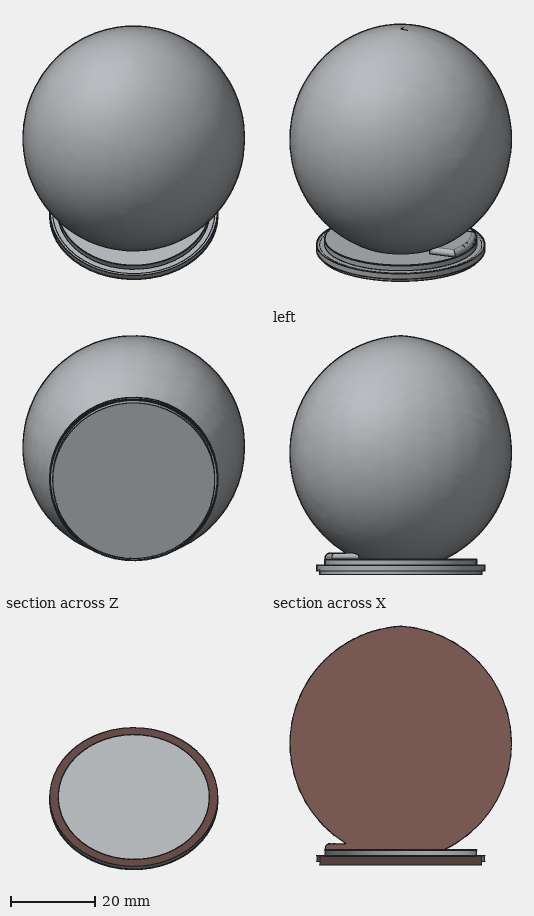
import cadquery as cq
import math

wall = 0.2
flange_radius = 40 / 2
flange_bottom = 0.8
flange_top = 2.3
step_radius = 36.2 / 2
step_top = 3.6

plate_radius = 38.5 / 2
plate_height = flange_top - wall

foot_radius = 36 / 2
foot_top = 3.7

bulb_radius = 52.67 / 2
bulb_top = 56.7
bulb_middle = 28.85

tab_inner_y = 9.9
tab_width = 15.0
tab_top = 5.1
tab_rounding = 1.15


def disc(radius, bottom, top):
    return cq.Workplane("XY").workplane(offset=bottom).circle(radius).extrude(top - bottom)


def make_bulb():
    half_height = bulb_top - bulb_middle
    overshoot = (half_height**2 - bulb_radius**2) / (2 * bulb_radius)
    arc_radius = bulb_radius + overshoot
    seat_drop = bulb_middle - foot_top
    seat_radius = math.sqrt(arc_radius**2 - seat_drop**2) - overshoot
    return (
        cq.Workplane("XZ")
        .moveTo(0, foot_top)
        .lineTo(seat_radius, foot_top)
        .threePointArc((bulb_radius, bulb_middle), (0, bulb_top))
        .close()
        .revolve(360, (0, 0, 0), (0, 1, 0))
    )


def make_tab():
    tab_length = foot_radius - tab_inner_y
    strip = (
        cq.Workplane("XY")
        .workplane(offset=step_top)
        .center(0, tab_inner_y + tab_length / 2)
        .rect(tab_width, tab_length)
        .extrude(tab_top - step_top)
    )
    tab = disc(foot_radius, step_top, tab_top).intersect(strip)
    return tab.faces(">Z").edges().fillet(tab_rounding)


def make_globe():
    foot = disc(foot_radius, step_top, foot_top)
    return foot.union(make_bulb()).union(make_tab())


def make_cap():
    flange = disc(flange_radius, flange_bottom, flange_top)
    step = disc(step_radius, flange_top, step_top)
    flange_cavity = disc(flange_radius - wall, flange_bottom, flange_top - wall)
    step_cavity = disc(step_radius - wall, flange_bottom, step_top - wall)
    return flange.union(step).cut(flange_cavity).cut(step_cavity)


globe = make_globe()
cap = make_cap()
base_plate = disc(plate_radius, 0, plate_height)

result = cq.Compound.makeCompound([globe.val(), cap.val(), base_plate.val()])